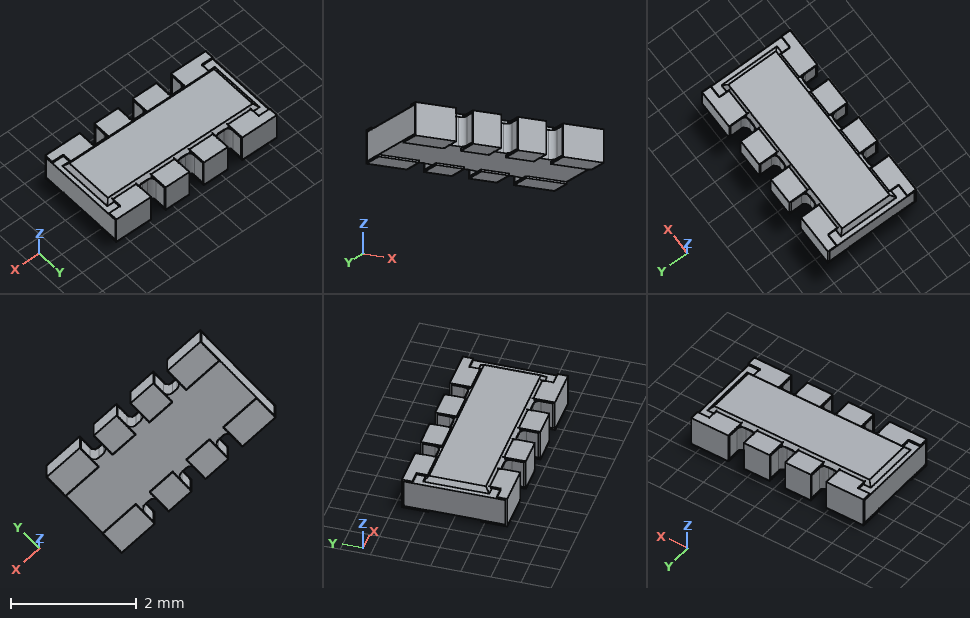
import cadquery as cq

LENGTH = 3.35
WIDTH = 1.75
HEIGHT = 0.6

PLATING = 0.035
SUBSTRATE_THICKNESS = 0.49
SUBSTRATE_WIDTH = WIDTH - 2 * PLATING
SUBSTRATE_TOP = PLATING + SUBSTRATE_THICKNESS

NOTCH_PITCH = 0.8
NOTCH_WIDTH = 0.3
NOTCH_DEPTH = 0.3
NOTCH_RADIUS = 0.1

COATING_LENGTH = 3.175
COATING_WIDTH = 1.1
COATING_THICKNESS = HEIGHT - SUBSTRATE_TOP
COATING_SLOPE = 45

TERMINAL_HEIGHT = SUBSTRATE_TOP + PLATING
INNER_TERMINAL_WIDTH = NOTCH_PITCH - NOTCH_WIDTH
INNER_TERMINAL_X = NOTCH_PITCH / 2
OUTER_TERMINAL_WIDTH = LENGTH / 2 - NOTCH_PITCH - NOTCH_WIDTH / 2
OUTER_TERMINAL_X = (LENGTH - OUTER_TERMINAL_WIDTH) / 2
LEG_LENGTH = 0.442

CORNER_CUT_LENGTH = 0.23
CORNER_CUT_INSET = 0.175


def box(length, width, height, x, y, bottom):
    """Box centred on (x, y) with its underside at the given height."""
    return cq.Workplane("XY", origin=(x, y, bottom)).box(length, width, height, centered=(True, True, False))


def make_substrate():
    """Ceramic block with three round-cornered notches in each long side."""
    block = box(LENGTH, SUBSTRATE_WIDTH, SUBSTRATE_THICKNESS, 0, 0, PLATING)
    for side in (-1, 1):
        for index in (-1, 0, 1):
            cutter = box(
                NOTCH_WIDTH, 2 * NOTCH_DEPTH, SUBSTRATE_THICKNESS,
                index * NOTCH_PITCH, side * SUBSTRATE_WIDTH / 2, PLATING,
            )
            block = block.cut(cutter.edges("|Z").fillet(NOTCH_RADIUS))
    return block


def make_terminal(x, width, side):
    """C-shaped strip around one edge of the substrate, with equal legs above and below it."""
    strip = box(width, LEG_LENGTH, TERMINAL_HEIGHT, x, side * (WIDTH - LEG_LENGTH) / 2, 0)
    substrate_space = box(LENGTH, SUBSTRATE_WIDTH, SUBSTRATE_THICKNESS, 0, 0, PLATING)
    return strip.cut(substrate_space)


def make_outer_terminal(end, side):
    """Terminal at one X end, with the end corner of its top leg cut away."""
    terminal = make_terminal(end * OUTER_TERMINAL_X, OUTER_TERMINAL_WIDTH, side)
    corner_cut = box(
        CORNER_CUT_LENGTH, WIDTH - 2 * CORNER_CUT_INSET, PLATING,
        end * (LENGTH - CORNER_CUT_LENGTH) / 2, 0, SUBSTRATE_TOP,
    )
    return terminal.cut(corner_cut)


def make_coating(terminals):
    """Bevelled plate on the substrate, recessed over the tips of the terminals' top legs."""
    coating = (
        cq.Workplane("XY", origin=(0, 0, SUBSTRATE_TOP))
        .rect(COATING_LENGTH, COATING_WIDTH)
        .extrude(COATING_THICKNESS, taper=COATING_SLOPE)
    )
    for terminal in terminals:
        coating = coating.cut(terminal)
    return coating


substrate = make_substrate()

terminals = []
for side in (-1, 1):
    for end in (-1, 1):
        terminals.append(make_terminal(end * INNER_TERMINAL_X, INNER_TERMINAL_WIDTH, side))
        terminals.append(make_outer_terminal(end, side))

coating = make_coating(terminals)

bodies = [substrate, coating, *terminals]
result = cq.Compound.makeCompound([body.solids().val() for body in bodies])